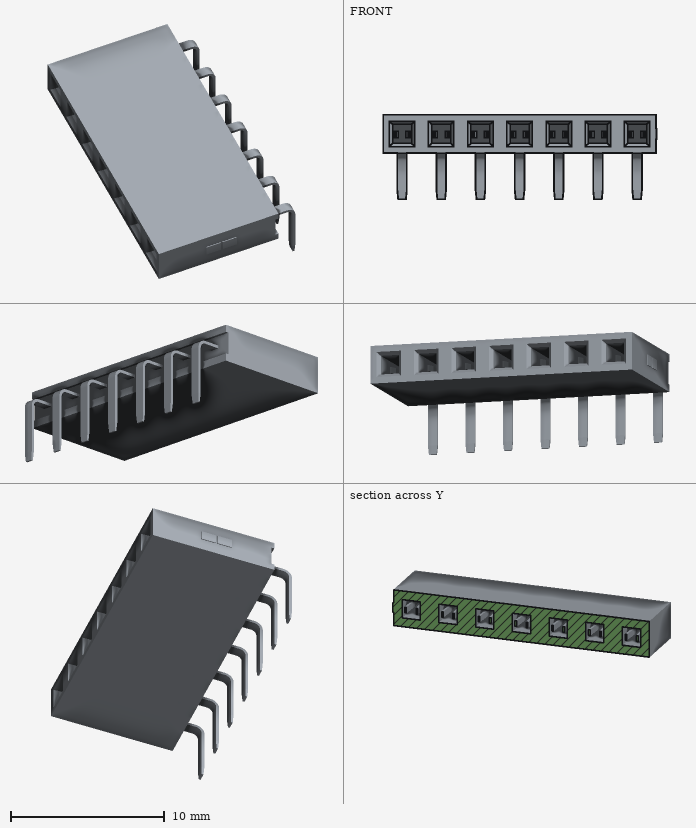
import cadquery as cq

pin_count = 7
pitch = 2.55
housing_length = 17.74
housing_depth = 8.5
housing_height = 2.49
mid_height = housing_height / 2
row_start = -pitch * (pin_count - 1) / 2

recess_lip = 0.5
recess_depth = 0.21

mouth_size = 1.65
socket_size = 1.23
mouth_depth = 0.3
socket_depth = 6.0

pin_width = 0.64
pin_thickness = 0.2
pin_bend_radius = 0.6
pin_reach = 1.6
pin_drop = 3.0
tip_length = 0.6
tip_width = 0.52
tip_thickness = 0.12

leaf_height = 0.43
leaf_drop = 0.05
leaf_tip_depth = 1.95
leaf_pinch_depth = 2.49
leaf_tip_inner = 0.4
leaf_tip_outer = 0.48
leaf_pinch_inner = 0.25
leaf_pinch_outer = 0.4
leaf_base_inner = 0.41
leaf_base_outer = 0.57
embed = 0.18

pad_count = 2
pad_rise = 0.05
pad_height = 0.7
pad_length = 1.01
pad_gap = 0.1
pad_front = 3.38


def box(x_min, y_min, z_min, length, depth, height):
    return cq.Workplane("XY").box(length, depth, height, centered=False).translate((x_min, y_min, z_min))


def make_housing():
    housing = box(-housing_length / 2, 0, 0, housing_length, housing_depth, housing_height)
    recess = box(
        -housing_length / 2,
        housing_depth - recess_depth,
        recess_lip,
        housing_length,
        recess_depth,
        housing_height - 2 * recess_lip,
    )
    return housing.cut(recess)


def make_socket(x):
    """Pocket to remove from the mating face, with its tapered mouth."""
    front = cq.Workplane("XZ").center(x, mid_height)
    mouth = (
        front.rect(mouth_size, mouth_size)
        .workplane(offset=-mouth_depth)
        .rect(socket_size, socket_size)
        .loft(combine=True)
    )
    pocket = front.rect(socket_size, socket_size).extrude(-socket_depth)
    return mouth.union(pocket)


def make_leaf(x, side):
    """One spring leaf; side is -1 or 1 and mirrors it about the socket centre."""
    base = socket_depth + embed
    outline = [
        (leaf_base_inner, base),
        (leaf_pinch_inner, leaf_pinch_depth),
        (leaf_tip_inner, leaf_tip_depth),
        (leaf_tip_outer, leaf_tip_depth),
        (leaf_pinch_outer, leaf_pinch_depth),
        (leaf_base_outer, base),
    ]
    bottom = mid_height - leaf_drop - leaf_height / 2
    return (
        cq.Workplane("XY", origin=(x, 0, bottom))
        .polyline([(side * offset, y) for offset, y in outline])
        .close()
        .extrude(leaf_height)
    )


def make_pin(x):
    """Flat pin leaving the rear, bending down and ending in a tapered tip."""
    top = mid_height + pin_thickness / 2
    bottom = top - pin_thickness
    rear = housing_depth + pin_reach
    front = rear - pin_thickness
    root = housing_depth - recess_depth - embed
    bend_y = rear - pin_bend_radius
    bend_z = top - pin_bend_radius
    inner_radius = pin_bend_radius - pin_thickness
    tip_top = tip_length - pin_drop
    strip = (
        cq.Workplane("YZ", origin=(x - pin_width / 2, 0, 0))
        .moveTo(root, top)
        .lineTo(bend_y, top)
        .radiusArc((rear, bend_z), pin_bend_radius)
        .lineTo(rear, tip_top)
        .lineTo(front, tip_top)
        .lineTo(front, bend_z)
        .radiusArc((bend_y, bottom), -inner_radius)
        .lineTo(root, bottom)
        .close()
        .extrude(pin_width)
    )
    tip = (
        cq.Workplane("XY", origin=(x, rear - pin_thickness / 2, tip_top))
        .rect(pin_width, pin_thickness)
        .workplane(offset=-tip_length)
        .rect(tip_width, tip_thickness)
        .loft(combine=True)
    )
    return strip.union(tip)


def make_pad(y_min):
    return box(
        housing_length / 2 - embed,
        y_min,
        mid_height - pad_height / 2,
        embed + pad_rise,
        pad_length,
        pad_height,
    )


result = make_housing()
for index in range(pin_count):
    centre_x = row_start + index * pitch
    result = result.cut(make_socket(centre_x))
    result = result.union(make_pin(centre_x))
    for side in (-1, 1):
        result = result.union(make_leaf(centre_x, side))
for index in range(pad_count):
    result = result.union(make_pad(pad_front + index * (pad_length + pad_gap)))